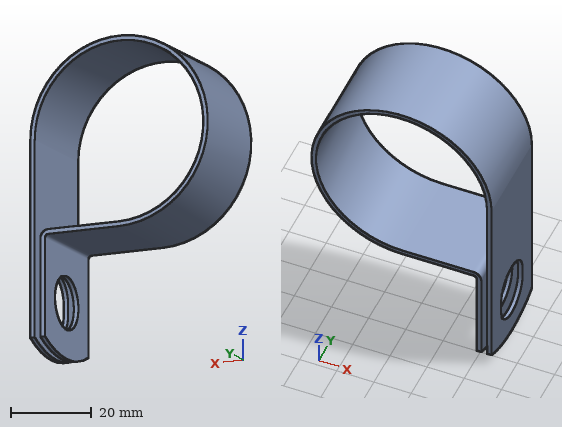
import cadquery as cq
import math

total_height = 77.4
ring_outer_radius = 24.2
strip_thickness = 1.2
strip_width = 25.4
leg_gap = 1.55
bend_outer_radius = 2.2
hole_diameter = 13.55
hole_height = 14.25
slot_length = 15.9
tip_rise = 3.0

ring_inner_radius = ring_outer_radius - strip_thickness
bend_inner_radius = bend_outer_radius - strip_thickness
tip_z = ring_outer_radius - total_height
hole_z = tip_z + hole_height
short_leg_outer_x = ring_inner_radius - leg_gap
short_leg_inner_x = short_leg_outer_x - strip_thickness
bend_x = short_leg_outer_x - bend_outer_radius
bend_z = -ring_inner_radius - bend_outer_radius
half_width = strip_width / 2
diagonal = math.sqrt(0.5)


def bent_strip():
    """Strip wrapped three quarters of a turn, ending in two parallel legs."""
    return (
        cq.Workplane("XZ")
        .moveTo(ring_outer_radius, tip_z)
        .lineTo(ring_outer_radius, 0)
        .threePointArc((-ring_outer_radius * diagonal, ring_outer_radius * diagonal), (0, -ring_outer_radius))
        .lineTo(bend_x, -ring_outer_radius)
        .threePointArc(
            (bend_x + bend_inner_radius * diagonal, bend_z + bend_inner_radius * diagonal),
            (short_leg_inner_x, bend_z),
        )
        .lineTo(short_leg_inner_x, tip_z)
        .lineTo(short_leg_outer_x, tip_z)
        .lineTo(short_leg_outer_x, bend_z)
        .threePointArc(
            (bend_x + bend_outer_radius * diagonal, bend_z + bend_outer_radius * diagonal),
            (bend_x, -ring_inner_radius),
        )
        .lineTo(0, -ring_inner_radius)
        .threePointArc((-ring_inner_radius * diagonal, ring_inner_radius * diagonal), (ring_inner_radius, 0))
        .lineTo(ring_inner_radius, tip_z)
        .close()
        .extrude(half_width, both=True)
    )


def side_outline():
    """Block spanning the part along X, with its lower end rounded."""
    return (
        cq.Workplane("YZ")
        .moveTo(-half_width, ring_outer_radius)
        .lineTo(-half_width, tip_z + tip_rise)
        .threePointArc((0, tip_z), (half_width, tip_z + tip_rise))
        .lineTo(half_width, ring_outer_radius)
        .close()
        .extrude(ring_outer_radius, both=True)
    )


def short_leg_hole():
    """Round bolt hole through the short leg."""
    return (
        cq.Workplane("YZ", origin=(short_leg_inner_x, 0, hole_z))
        .circle(hole_diameter / 2)
        .extrude(strip_thickness)
    )


def long_leg_slot():
    """Vertical slot through the long leg, centred on the bolt hole."""
    return (
        cq.Workplane("YZ", origin=(ring_inner_radius, 0, hole_z))
        .slot2D(slot_length, hole_diameter, angle=90)
        .extrude(strip_thickness)
    )


result = bent_strip().intersect(side_outline()).cut(short_leg_hole()).cut(long_leg_slot())